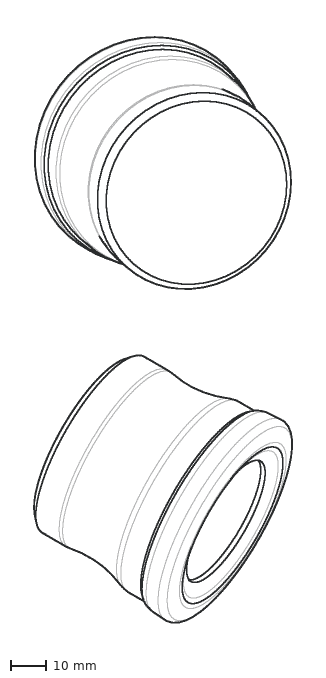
import cadquery as cq

total_length = 50.0
rim_radius = 33.0

lip_outer_radius = 26.9
face_end_x = 1.1
face_end_radius = 31.45
rim_x = 3.2
rim_round_mid_x = 1.85
rim_round_mid_radius = 32.6
crown_end_x = 7.5
crown_end_radius = 32.7
shoulder_x = 9.2
shoulder_radius = 32.25
bezel_back_x = 10.2

lip_inner_radius = 25.4
throat_start_x = 0.65
throat_start_radius = 23.9
throat_end_x = 2.3
opening_radius = 19.8

collar_radius = 62.7 / 2
collar_end_x = 17.15
taper_start_x = 19.0
taper_start_radius = 30.85
waist_x = 28.95
waist_radius = 28.4
flare_end_x = 38.9
flare_end_radius = 28.9
tail_radius = 58.0 / 2
tail_start_x = 40.0
tail_chamfer = 2.0
front_disc_x = 3.8


def revolve_about_x(profile):
    """Turn a closed half-profile, drawn as (x, radius), into a solid about X."""
    return profile.close().revolve(360, (0, 0, 0), (1, 0, 0))


def make_bezel():
    """Rounded ring with a funnel-shaped opening, seated on the body."""
    profile = (
        cq.Workplane("XY")
        .moveTo(0, lip_inner_radius)
        .lineTo(0, lip_outer_radius)
        .lineTo(face_end_x, face_end_radius)
        .threePointArc((rim_round_mid_x, rim_round_mid_radius), (rim_x, rim_radius))
        .lineTo(crown_end_x, crown_end_radius)
        .lineTo(shoulder_x, shoulder_radius)
        .lineTo(bezel_back_x, collar_radius)
        .lineTo(bezel_back_x, opening_radius)
        .lineTo(throat_end_x, opening_radius)
        .lineTo(throat_start_x, throat_start_radius)
    )
    return revolve_about_x(profile)


def make_body():
    """Solid waisted grip whose front boss closes the opening of the bezel."""
    profile = (
        cq.Workplane("XY")
        .moveTo(front_disc_x, 0)
        .lineTo(front_disc_x, opening_radius)
        .lineTo(bezel_back_x, opening_radius)
        .lineTo(bezel_back_x, collar_radius)
        .lineTo(collar_end_x, collar_radius)
        .lineTo(taper_start_x, taper_start_radius)
        .threePointArc((waist_x, waist_radius), (flare_end_x, flare_end_radius))
        .lineTo(tail_start_x, tail_radius)
        .lineTo(total_length - tail_chamfer, tail_radius)
        .lineTo(total_length, tail_radius - tail_chamfer)
        .lineTo(total_length, 0)
    )
    return revolve_about_x(profile)


bezel = make_bezel()
body = make_body()

result = cq.Compound.makeCompound([bezel.val(), body.val()])